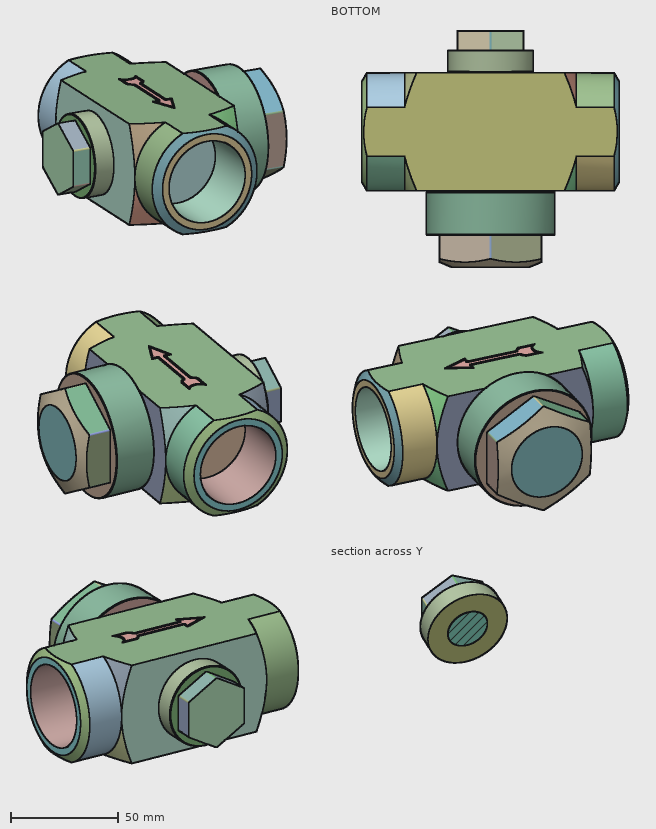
import cadquery as cq
import math

BODY_LENGTH = 120.0
BODY_WIDTH = 55.0
BODY_HEIGHT = 49.9
BLOCK_HALF_LENGTH = 40.0
SHOULDER_ANGLE = 30.0
ENVELOPE_MARGIN = 1.2
END_FACE_DIAMETER = 46.8
END_CHAMFER_LENGTH = 2.5
BORE_DIAMETER = 40.0
BORE_DEPTH = 30.0

CAP_GAP = 0.54
COLLAR_CHAMFER = 0.4
HEX_CORNER_RADIUS = 1.0

COVER_NECK_DIAMETER = 24.0
COVER_COLLAR_DIAMETER = 60.0
COVER_COLLAR_LENGTH = 20.0
COVER_HEX_FLATS = 47.6
COVER_HEX_LENGTH = 15.0
COVER_CROWN_FLAT_DIAMETER = 36.2
COVER_CROWN_DROP = 4.0

PLUG_NECK_DIAMETER = 20.0
PLUG_COLLAR_DIAMETER = 40.0
PLUG_COLLAR_LENGTH = 10.0
PLUG_HEX_FLATS = 30.7
PLUG_HEX_LENGTH = 9.0

ARROW_CENTRE_Y = 1.7
ARROW_TAIL_X = -23.9
ARROW_TAIL_FRONT_X = -15.6
ARROW_TAIL_HALF_WIDTH = 4.5
ARROW_TAIL_BULGE = 2.6
ARROW_SHAFT_HALF_WIDTH = 1.9
ARROW_HEAD_X = 11.6
ARROW_HEAD_HALF_WIDTH = 5.0
ARROW_TIP_X = 24.2
ARROW_LINE_WIDTH = 0.6
ARROW_DEPTH = 0.2


def make_body():
    """Block trimmed by a turned envelope: pipe ends, end chamfers and conical shoulders."""
    half_length = BODY_LENGTH / 2
    pipe_radius = BODY_WIDTH / 2
    envelope_radius = math.hypot(BODY_WIDTH, BODY_HEIGHT) / 2 + ENVELOPE_MARGIN
    shoulder_run = (envelope_radius - pipe_radius) * math.tan(math.radians(SHOULDER_ANGLE))
    right_side = [
        (BLOCK_HALF_LENGTH - shoulder_run, envelope_radius),
        (BLOCK_HALF_LENGTH, pipe_radius),
        (half_length - END_CHAMFER_LENGTH, pipe_radius),
        (half_length, END_FACE_DIAMETER / 2),
        (half_length, 0),
    ]
    left_side = [(-x, radius) for x, radius in reversed(right_side)]
    envelope = (
        cq.Workplane("XY")
        .polyline(left_side + right_side)
        .close()
        .revolve(360, (0, 0, 0), (1, 0, 0))
    )
    block = cq.Workplane("XY").box(BODY_LENGTH, BODY_WIDTH, BODY_HEIGHT)
    body = block.intersect(envelope)
    for face in (">X", "<X"):
        body = body.faces(face).workplane(centerOption="CenterOfMass").hole(BORE_DIAMETER, BORE_DEPTH)
    return body


def across_corners(flats):
    """Corner-to-corner size of a sharp hexagon with the given size across flats."""
    return flats / math.cos(math.pi / 6)


def make_hex(flats, length):
    """Hexagonal head along +Z with two corners on the Y axis and softened edges."""
    return (
        cq.Workplane("XY")
        .polygon(6, across_corners(flats))
        .extrude(length)
        .rotate((0, 0, 0), (0, 0, 1), 90)
        .edges("|Z")
        .fillet(HEX_CORNER_RADIUS)
    )


def make_cap(neck_diameter, collar_diameter, collar_length, chamfered_edges, head):
    """Neck, collar and hexagonal head stacked along +Z, starting on the body face."""
    neck = cq.Workplane("XY").circle(neck_diameter / 2).extrude(CAP_GAP)
    collar = (
        cq.Workplane("XY")
        .circle(collar_diameter / 2)
        .extrude(collar_length)
        .edges(chamfered_edges)
        .chamfer(COLLAR_CHAMFER)
        .translate((0, 0, CAP_GAP))
    )
    return neck.union(collar).union(head.translate((0, 0, CAP_GAP + collar_length)))


def make_crown():
    """Turned shape that gives the large hexagonal head its shallow conical crown."""
    corner_radius = across_corners(COVER_HEX_FLATS) / 2
    profile = [
        (0, 0),
        (corner_radius, 0),
        (corner_radius, COVER_HEX_LENGTH - COVER_CROWN_DROP),
        (COVER_CROWN_FLAT_DIAMETER / 2, COVER_HEX_LENGTH),
        (0, COVER_HEX_LENGTH),
    ]
    return cq.Workplane("XZ").polyline(profile).close().revolve(360, (0, 0, 0), (0, 1, 0))


def make_cover():
    head = make_hex(COVER_HEX_FLATS, COVER_HEX_LENGTH).intersect(make_crown())
    both_rims = "%CIRCLE"
    cap = make_cap(COVER_NECK_DIAMETER, COVER_COLLAR_DIAMETER, COVER_COLLAR_LENGTH, both_rims, head)
    return cap.rotate((0, 0, 0), (1, 0, 0), -90).translate((0, BODY_WIDTH / 2, 0))


def make_plug():
    head = make_hex(PLUG_HEX_FLATS, PLUG_HEX_LENGTH)
    outer_rim = ">Z"
    cap = make_cap(PLUG_NECK_DIAMETER, PLUG_COLLAR_DIAMETER, PLUG_COLLAR_LENGTH, outer_rim, head)
    return cap.rotate((0, 0, 0), (1, 0, 0), 90).translate((0, -BODY_WIDTH / 2, 0))


def arrow_outline():
    """Closed arrow outline; both ends of the tail follow arcs of the same radius."""
    tail = ARROW_TAIL_HALF_WIDTH
    shaft = ARROW_SHAFT_HALF_WIDTH
    arc_radius = (tail**2 + ARROW_TAIL_BULGE**2) / (2 * ARROW_TAIL_BULGE)
    arc_centre_x = ARROW_TAIL_FRONT_X + ARROW_TAIL_BULGE - arc_radius

    def on_front_arc(y):
        return (arc_centre_x + math.sqrt(arc_radius**2 - y**2), y)

    mid_y = (tail + shaft) / 2
    return (
        cq.Workplane("XY", origin=(0, ARROW_CENTRE_Y, BODY_HEIGHT / 2 - ARROW_DEPTH))
        .moveTo(ARROW_TAIL_X, tail)
        .lineTo(ARROW_TAIL_FRONT_X, tail)
        .threePointArc(on_front_arc(mid_y), on_front_arc(shaft))
        .lineTo(ARROW_HEAD_X, shaft)
        .lineTo(ARROW_HEAD_X, ARROW_HEAD_HALF_WIDTH)
        .lineTo(ARROW_TIP_X, 0)
        .lineTo(ARROW_HEAD_X, -ARROW_HEAD_HALF_WIDTH)
        .lineTo(ARROW_HEAD_X, -shaft)
        .lineTo(*on_front_arc(-shaft))
        .threePointArc(on_front_arc(-mid_y), (ARROW_TAIL_FRONT_X, -tail))
        .lineTo(ARROW_TAIL_X, -tail)
        .threePointArc((ARROW_TAIL_X + ARROW_TAIL_BULGE, 0), (ARROW_TAIL_X, tail))
        .close()
    )


def make_arrow_groove():
    outer = arrow_outline().extrude(ARROW_DEPTH)
    inner = arrow_outline().offset2D(-ARROW_LINE_WIDTH).extrude(ARROW_DEPTH)
    return outer.cut(inner)


result = make_body().union(make_cover()).union(make_plug()).cut(make_arrow_groove())